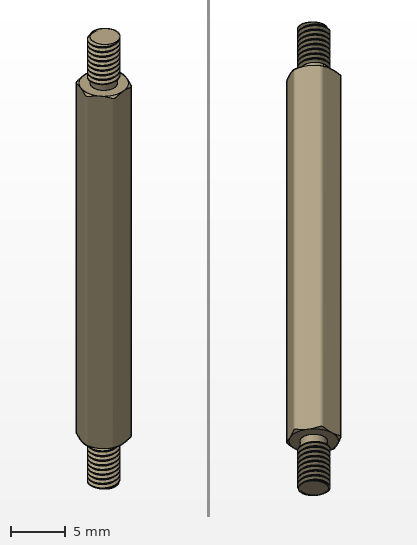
import cadquery as cq
import math

total_length = 48.0
stud_length = 5.0

hexagon_sides = 6
across_flats = 4.5
across_corners = 5.08
end_bevel_angle = 30.0

major_diameter = 3.0
core_diameter = 2.5
pitch = 0.5
neck_length = 0.66
thread_start_angle = 180.0
ridge_root_width = 0.48
ridge_crest_width = pitch / 8
ridge_overlap = 0.02

half_body = total_length / 2 - stud_length
body_length = 2 * half_body
half_side_angle = 180 / hexagon_sides
corner_stretch = 1 / math.cos(math.radians(half_side_angle))
flat_radius = across_flats / 2
sharp_corner_radius = flat_radius * corner_stretch
corner_fillet = (sharp_corner_radius - across_corners / 2) / (corner_stretch - 1)
core_radius = core_diameter / 2
major_radius = major_diameter / 2


def hexagon_body():
    """Hexagonal bar with rounded corners and conically bevelled ends."""
    bar = (
        cq.Workplane("XY", origin=(0, 0, -half_body))
        .polygon(hexagon_sides, 2 * sharp_corner_radius)
        .extrude(body_length)
        .rotate((0, 0, 0), (0, 0, 1), half_side_angle)
        .edges("|Z")
        .fillet(corner_fillet)
    )
    bevel_height = (sharp_corner_radius - flat_radius) * math.tan(math.radians(end_bevel_angle))
    bevel_envelope = (
        cq.Workplane("XZ")
        .moveTo(0, -half_body)
        .lineTo(flat_radius, -half_body)
        .lineTo(sharp_corner_radius, bevel_height - half_body)
        .lineTo(sharp_corner_radius, half_body - bevel_height)
        .lineTo(flat_radius, half_body)
        .lineTo(0, half_body)
        .close()
        .revolve(360, (0, 0, 0), (0, 1, 0))
    )
    return bar.intersect(bevel_envelope)


def thread_ridge():
    """Helical ridge starting on the XY plane, one pitch longer than the threaded length."""
    helix = cq.Wire.makeHelix(pitch, stud_length - neck_length + pitch, core_radius)
    root_radius = core_radius - ridge_overlap
    ridge = (
        cq.Workplane("XZ")
        .moveTo(root_radius, -ridge_root_width / 2)
        .lineTo(major_radius, -ridge_crest_width / 2)
        .lineTo(major_radius, ridge_crest_width / 2)
        .lineTo(root_radius, ridge_root_width / 2)
        .close()
        .sweep(cq.Workplane(obj=helix), isFrenet=True)
    )
    return ridge.rotate((0, 0, 0), (0, 0, 1), thread_start_angle)


def upper_stud():
    """Threaded stud on top of the hexagon, with the ridge cut flush with the stud end."""
    base = cq.Workplane("XY", origin=(0, 0, half_body))
    core = base.circle(core_radius).extrude(stud_length)
    trim_radius = 2 * major_radius
    trim_envelope = base.circle(trim_radius).extrude(stud_length)
    ridge = thread_ridge().translate((0, 0, half_body + neck_length))
    return core.union(ridge.intersect(trim_envelope))


stud = upper_stud()
lower_stud = stud.rotate((0, 0, 0), (0, 1, 0), 180)
body = hexagon_body().union(stud).union(lower_stud)
result = cq.Workplane(obj=body.solids().val())